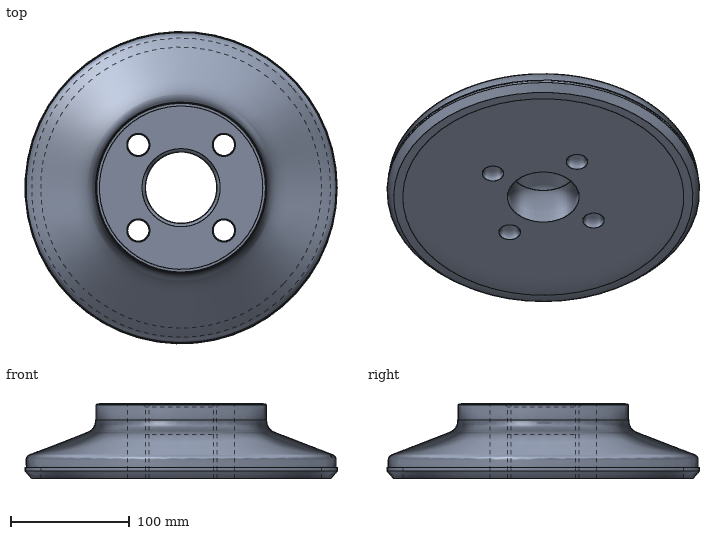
import cadquery as cq

total_height = 63.0
rim_radius = 261.0 / 2

flange_radius = 143.5 / 2
flange_base_z = 49.5
flange_edge_chamfer = 0.8
seat_radius = 137.5 / 2
seat_height = 0.3
flange_top_z = total_height - seat_height

neck_radius = 144.0 / 2
cone_top_z = 41.5
cone_base_z = 19.0
neck_fillet = 10.0
rim_fillet = 5.0

ring_outer_radius = 131.5
ring_inner_radius = 118.3
ring_height = 9.2
ring_bevel_height = 6.3
ring_base_radius = 126.0

bore_diameter = 60.0
lower_bore_diameter = 60.2
lower_bore_height = 37.0
bore_chamfer = 3.0

bolt_hole_diameter = 18.0
bolt_spacing = 72.0
bolt_hole_chamfer = 0.8


def revolve_profile(points):
    """Solid of revolution about Z from (radius, z) points."""
    return cq.Workplane("XZ").polyline(points).close().revolve(360, (0, 0), (0, 1))


def fillet_circle(body, radius, z, fillet_radius):
    """Round the circular edge with the given radius at height z."""
    margin = 0.3
    nearest = cq.selectors.BoxSelector(
        (-radius - margin, -radius - margin, z - margin),
        (radius + margin, radius + margin, z + margin),
    )
    return body.edges(nearest).fillet(fillet_radius)


def cut_hole(body, x, y, diameter, chamfer, top_z):
    """Through hole with a 45 degree chamfer at its upper mouth."""
    radius = diameter / 2
    cutter = revolve_profile([
        (0, 0),
        (radius, 0),
        (radius, top_z - chamfer),
        (radius + chamfer, top_z),
        (0, top_z),
    ])
    return body.cut(cutter.translate((x, y, 0)))


def make_wheel():
    wheel = revolve_profile([
        (0, 0),
        (ring_inner_radius, 0),
        (ring_inner_radius, ring_height),
        (rim_radius, ring_height),
        (rim_radius, cone_base_z),
        (neck_radius, cone_top_z),
        (neck_radius, flange_base_z),
        (flange_radius, flange_base_z),
        (flange_radius, flange_top_z - flange_edge_chamfer),
        (flange_radius - flange_edge_chamfer, flange_top_z),
        (seat_radius, flange_top_z),
        (seat_radius, total_height),
        (0, total_height),
    ])
    wheel = fillet_circle(wheel, neck_radius, cone_top_z, neck_fillet)
    wheel = fillet_circle(wheel, rim_radius, cone_base_z, rim_fillet)

    wheel = cut_hole(wheel, 0, 0, bore_diameter, bore_chamfer, total_height)
    lower_bore = cq.Workplane("XY").circle(lower_bore_diameter / 2).extrude(lower_bore_height)
    wheel = wheel.cut(lower_bore)

    for x in (-bolt_spacing / 2, bolt_spacing / 2):
        for y in (-bolt_spacing / 2, bolt_spacing / 2):
            wheel = cut_hole(wheel, x, y, bolt_hole_diameter, bolt_hole_chamfer, total_height)
    return wheel


def make_abrasive_ring():
    return revolve_profile([
        (ring_inner_radius, 0),
        (ring_base_radius, 0),
        (ring_outer_radius, ring_bevel_height),
        (ring_outer_radius, ring_height),
        (ring_inner_radius, ring_height),
    ])


wheel = make_wheel()
abrasive_ring = make_abrasive_ring()
result = cq.Compound.makeCompound([wheel.val(), abrasive_ring.val()])